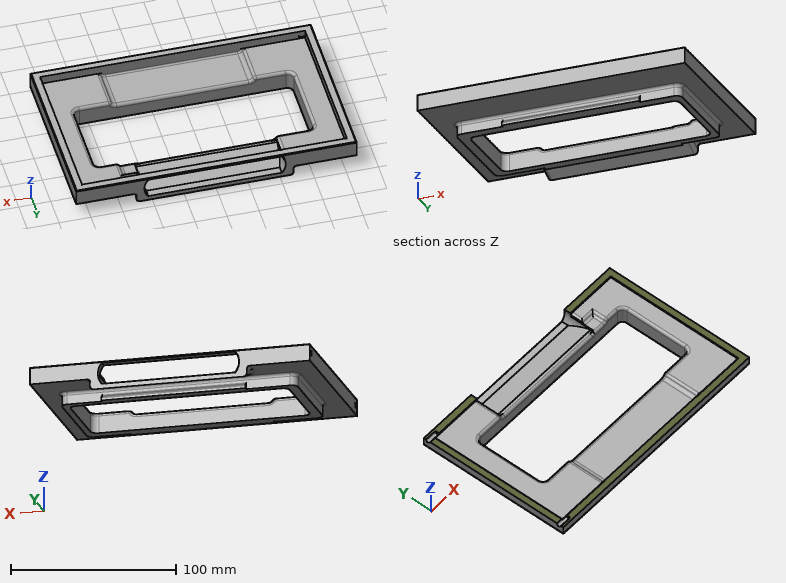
import cadquery as cq
import math

length = 175.7
width = 110.3
height = 18.6
wall = 5.0
frame_bottom = 7.9
floor_top = 13.0
rim_chamfer = 0.5

skirt_length = 148.0
skirt_width = 64.7
skirt_center_y = 2.8
skirt_corner_radius = 4.0
skirt_root_radius = 2.0

window_length = 137.4
window_width = 53.4
window_center_x = 1.0
window_center_y = 3.9
window_corner_radius = 4.0
window_edge_radius = 2.0

band_left = -43.4
band_right = 45.2
band_top = 10.5
band_crest_run = 2.0
band_foot_run = 3.0
band_end_radius = 1.0

pocket_right = 55.0
pocket_back = 41.1
pocket_depth = 2.0
pocket_run = 2.0

chute_start_y = 34.3
chute_step_y = 32.5
chute_outlet_z = 4.4
chute_outlet_top = 17.5
chute_side_bulge = 2.5
hood_wall = 5.0
hood_start_y = 38.8
hood_bottom_z = 1.2
hood_edge_radius = 2.3
hood_root_radius = 2.0

rib_left = -42.5
rib_right = 47.8
rib_depth = 2.0
rib_edge_z = 2.3
rib_blend_radius = 0.9
rib_top_z = 3.7

pin_diameter = 3.0
pin_depth = 8.8
pin_y = 51.7
pin_z = 13.7

tolerance = 0.02

back_y = width / 2
inner_y = back_y - wall
skirt_back_y = skirt_center_y + skirt_width / 2
skirt_front_y = skirt_center_y - skirt_width / 2


def box(x0, x1, y0, y1, z0, z1):
    return cq.Workplane("XY").box(x1 - x0, y1 - y0, z1 - z0, centered=False).translate((x0, y0, z0))


def edges_within(x0, x1, y0, y1, z0, z1):
    """Selector for edges lying wholly inside a box, with a small margin."""
    low = (x0 - tolerance, y0 - tolerance, z0 - tolerance)
    high = (x1 + tolerance, y1 + tolerance, z1 + tolerance)
    return cq.selectors.BoxSelector(low, high, boundingbox=True)


def step_down(sketch, x, side, crest_run, foot_run, top, depth):
    """Continue a sketch from the floor into a recess by two tangent arcs meeting at x.

    x is the first sketch coordinate. side is +1 where the sketch goes down into the recess
    and -1 where it climbs back out to the floor.
    """
    run = crest_run + foot_run
    angle = 2 * math.atan(depth / run)
    radius_sum = run / math.sin(angle)
    half_sin = math.sin(angle / 2)
    half_drop = 1 - math.cos(angle / 2)
    crest_radius = radius_sum * crest_run / run
    foot_radius = radius_sum * foot_run / run
    crest = (x - side * crest_run, top)
    crest_middle = (crest[0] + side * crest_radius * half_sin, top - crest_radius * half_drop)
    joint = (x, top - depth * crest_run / run)
    foot = (x + side * foot_run, top - depth)
    foot_middle = (foot[0] - side * foot_radius * half_sin, foot[1] + foot_radius * half_drop)
    if side > 0:
        return sketch.lineTo(*crest).threePointArc(crest_middle, joint).threePointArc(foot_middle, foot)
    return sketch.lineTo(*foot).threePointArc(foot_middle, joint).threePointArc(crest_middle, crest)


def make_frame():
    frame = box(-length / 2, length / 2, -back_y, back_y, frame_bottom, height)
    frame = frame.faces(">Z").edges().chamfer(rim_chamfer)
    inner_x = length / 2 - wall
    return frame.cut(box(-inner_x, inner_x, -inner_y, inner_y, floor_top, height))


def make_skirt():
    return (
        cq.Workplane("XY")
        .center(0, skirt_center_y)
        .rect(skirt_length, skirt_width)
        .extrude(frame_bottom)
        .edges("|Z")
        .fillet(skirt_corner_radius)
    )


def make_hood():
    """Wedge below the back edge that carries the chute."""
    x0 = band_left - hood_wall
    x1 = band_right + hood_wall
    hood = (
        cq.Workplane("YZ", origin=(x0, 0, 0))
        .moveTo(hood_start_y, frame_bottom)
        .lineTo(back_y, hood_bottom_z)
        .lineTo(back_y, frame_bottom)
        .close()
        .extrude(x1 - x0)
    )
    return hood.faces("<X or >X").edges("not(|Y or |Z)").fillet(hood_edge_radius)


def make_shell():
    """Frame with skirt and hood, both blended into its underside."""
    shell = make_frame().union(make_skirt()).union(make_hood())
    root_x = skirt_length / 2
    skirt_root = edges_within(-root_x, root_x, skirt_front_y, skirt_back_y, frame_bottom, frame_bottom)
    shell = shell.edges(skirt_root).fillet(skirt_root_radius)
    hood_left = band_left - hood_wall
    hood_right = band_right + hood_wall
    hood_sides = edges_within(hood_left, hood_right, hood_start_y, back_y, frame_bottom, frame_bottom)
    return shell.edges(hood_sides).edges("|Y").fillet(hood_root_radius)


def make_band():
    """Recess across the floor with S-shaped sides, rounded where it meets the front wall."""
    depth = floor_top - band_top
    sketch = cq.Workplane("XZ", origin=(0, inner_y, 0)).moveTo(band_left - band_crest_run, height)
    sketch = step_down(sketch, band_left, 1, band_crest_run, band_foot_run, floor_top, depth)
    sketch = step_down(sketch, band_right, -1, band_crest_run, band_foot_run, floor_top, depth)
    sketch = sketch.lineTo(band_right + band_crest_run, height).close()
    return sketch.extrude(2 * inner_y).faces("<Y").edges("<Z").fillet(band_end_radius)


def make_pocket():
    """Trough with a square mitred corner, open to the window and merging into the band on its left."""
    start_x = (band_left + band_right) / 2
    along = cq.Workplane("XZ", origin=(0, pocket_back + pocket_run, 0))
    along = along.moveTo(start_x - pocket_run, height)
    along = step_down(along, start_x, 1, pocket_run, pocket_run, floor_top, pocket_depth)
    along = step_down(along, pocket_right, -1, pocket_run, pocket_run, floor_top, pocket_depth)
    along = along.lineTo(pocket_right + pocket_run, height).close().extrude(width / 2)
    across = cq.Workplane("YZ", origin=(start_x - pocket_run, 0, 0))
    across = across.moveTo(window_center_y, height).lineTo(window_center_y, floor_top - pocket_depth)
    across = step_down(across, pocket_back, -1, pocket_run, pocket_run, floor_top, pocket_depth)
    across = across.lineTo(pocket_back + pocket_run, height).close().extrude(length / 2)
    return along.intersect(across)


def make_window():
    return (
        cq.Workplane("XY")
        .center(window_center_x, window_center_y)
        .rect(window_length, window_width)
        .extrude(height)
        .edges("|Z")
        .fillet(window_corner_radius)
    )


def cut_rounded_window(body):
    """Cut the window and round its upper edge, following the floor up and down."""
    upper_edges = edges_within(
        window_center_x - window_length / 2,
        window_center_x + window_length / 2,
        window_center_y - window_width / 2,
        window_center_y + window_width / 2,
        frame_bottom,
        floor_top,
    )
    return body.cut(make_window()).edges(upper_edges).fillet(window_edge_radius)


def make_chute():
    """Sloping channel that levels out under the back wall, with bulging side walls."""
    outside_y = back_y + wall
    slope = (
        cq.Workplane("YZ", origin=(band_left, 0, 0))
        .moveTo(chute_start_y, band_top)
        .lineTo(inner_y, chute_outlet_z)
        .lineTo(outside_y, chute_outlet_z)
        .lineTo(outside_y, chute_outlet_top)
        .lineTo(chute_start_y, chute_outlet_top)
        .close()
        .extrude(band_right - band_left)
    )
    middle_z = (chute_outlet_z + chute_outlet_top) / 2
    outlet = (
        cq.Workplane("XZ", origin=(0, outside_y, 0))
        .moveTo(band_left + chute_side_bulge, chute_outlet_z)
        .lineTo(band_right - chute_side_bulge, chute_outlet_z)
        .threePointArc((band_right, middle_z), (band_right - chute_side_bulge, chute_outlet_top))
        .lineTo(band_left + chute_side_bulge, chute_outlet_top)
        .threePointArc((band_left, middle_z), (band_left + chute_side_bulge, chute_outlet_z))
        .close()
        .extrude(outside_y - chute_start_y)
    )
    return slope.intersect(outlet)


def add_rib(body, wall_y, side):
    """Add a rib with a sloping top, rounded along its crest and blended into the skirt."""
    crest_y = wall_y + side * rib_depth
    rib = (
        cq.Workplane("YZ", origin=(rib_left, 0, 0))
        .moveTo(wall_y - side * rib_depth, 0)
        .lineTo(crest_y, 0)
        .lineTo(crest_y, rib_edge_z)
        .lineTo(wall_y, rib_top_z)
        .lineTo(wall_y - side * rib_depth, rib_top_z)
        .close()
        .extrude(rib_right - rib_left)
    )
    body = body.union(rib)
    for y, z in ((crest_y, rib_edge_z), (wall_y, rib_top_z)):
        edge = edges_within(rib_left, rib_right, y, y, z, z)
        body = body.edges(edge).fillet(rib_blend_radius)
    return body


shell = make_shell()
with_band = cut_rounded_window(shell.cut(make_band()))
with_pocket = cut_rounded_window(shell.cut(make_pocket()))
body = with_band.intersect(with_pocket)
landing = box(band_left, band_right, chute_step_y, inner_y, band_top, height)
body = body.cut(landing).cut(make_chute())
body = add_rib(body, skirt_back_y, 1)
body = add_rib(body, skirt_front_y, -1)
for y in (-pin_y, pin_y):
    pin = cq.Workplane("YZ", origin=(-length / 2, y, pin_z)).circle(pin_diameter / 2).extrude(pin_depth)
    body = body.cut(pin)
result = body